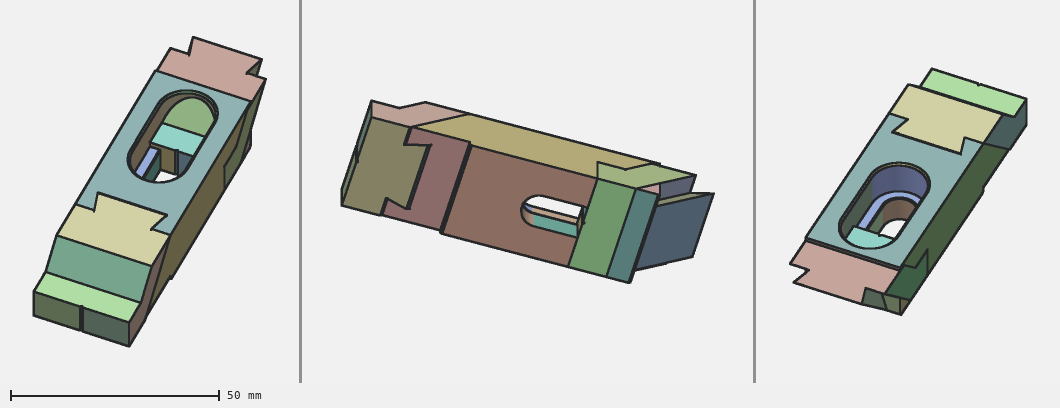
import cadquery as cq

width = 25.0
overall_length = 86.64

jaw_height = 15.0
shelf_height = 8.5
shelf_length = 7.0
jaw_top_length = 11.1
ramp = jaw_height - shelf_height
shoulder = shelf_length + ramp + jaw_top_length
mark_depth = 0.4

neck_width = 15.0
tip_width = 18.0
dovetail_length = 5.5
socket_clearance = 0.2
jaw_length = shoulder + dovetail_length

block_height = 16.0
block_length = 47.6
step_height = 1.5
edge_chamfer = 0.5
block_front = shoulder
block_rear = block_front + block_length

wide_front_center = 46.0
narrow_front_center = 45.6
slot_rear_center = 62.4
wide_slot_width = 14.0
narrow_slot_width = 8.5
ledge_height = 7.0
ledge_chamfer = 0.25
entry_taper = -45

front_jaw_lift = block_height - jaw_height
rear_jaw_nose = overall_length - jaw_length


def side_prism(points):
    """Full-width prism along X from a (Y, Z) outline."""
    return cq.Workplane("YZ").polyline(points).close().extrude(width / 2, both=True)


def sloped_dovetail(shoulder_y, top, drop, length):
    """Dovetail with a horizontal section, swept down a 45 degree slope toward the nose."""
    tip_half = neck_width / 2 + (tip_width - neck_width) / 2 * length / dovetail_length
    corners = [
        (-neck_width / 2, shoulder_y, top),
        (neck_width / 2, shoulder_y, top),
        (tip_half, shoulder_y + length, top),
        (-tip_half, shoulder_y + length, top),
    ]
    section = cq.Wire.makePolygon([cq.Vector(*corner) for corner in corners], close=True)
    solid = cq.Solid.extrudeLinear(section, [], cq.Vector(0, -drop, -drop))
    return cq.Workplane(obj=solid)


def make_jaw(nose_y, bottom):
    """Stepped jaw with a sloped shoulder, a dovetail on it and a centre mark on the nose."""
    body = side_prism([
        (0, 0),
        (0, shelf_height),
        (shelf_length, shelf_height),
        (shelf_length + ramp, jaw_height),
        (shoulder, jaw_height),
        (shoulder - jaw_height, 0),
    ])
    dovetail = sloped_dovetail(shoulder, jaw_height, jaw_height, dovetail_length)
    mark = (
        cq.Workplane("XY")
        .polyline([(-mark_depth, 0), (mark_depth, 0), (0, mark_depth)])
        .close()
        .extrude(shelf_height)
    )
    return body.union(dovetail).cut(mark).translate((0, nose_y, bottom))


def slot_prism(slot_width, front_center, bottom, top, taper=0):
    """Round-ended upright slot; a negative taper widens it toward the top."""
    spacing = slot_rear_center - front_center
    return (
        cq.Workplane("XY", origin=(0, (front_center + slot_rear_center) / 2, bottom))
        .slot2D(spacing + slot_width, slot_width, 90)
        .extrude(top - bottom, taper=taper)
    )


def make_stepped_slot():
    """Wide slot above a ledge and a narrow one below it, both with 45 degree entries."""
    wide = slot_prism(wide_slot_width, wide_front_center, ledge_height, block_height)
    narrow = slot_prism(narrow_slot_width, narrow_front_center, 0, ledge_height)
    wide_entry = slot_prism(
        wide_slot_width, wide_front_center, block_height - edge_chamfer, block_height, entry_taper
    )
    narrow_entry = slot_prism(
        narrow_slot_width, narrow_front_center, ledge_height - ledge_chamfer, ledge_height, entry_taper
    )
    return wide.union(narrow).union(wide_entry).union(narrow_entry)


def make_wedge():
    """Full-width wedge under the rear jaw's shoulder, with a chamfered lower rear edge."""
    shoulder_foot = rear_jaw_nose + shoulder - jaw_height
    return side_prism([
        (shoulder_foot, 0),
        (block_rear, block_rear - shoulder_foot),
        (block_rear, edge_chamfer),
        (block_rear - edge_chamfer, 0),
    ])


def make_block(rear_jaw, wedge):
    """Slotted block, socketed for the front jaw and cut away over the rear jaw and wedge."""
    body = side_prism([
        (block_front + edge_chamfer, 0),
        (block_front, edge_chamfer),
        (block_front, step_height),
        (block_front - block_height + step_height, step_height),
        (block_front, block_height),
        (block_rear, block_height),
        (block_rear, edge_chamfer),
        (block_rear - edge_chamfer, 0),
    ])
    socket = sloped_dovetail(
        block_front, block_height, block_height, dovetail_length + socket_clearance
    )
    return body.cut(socket).cut(make_stepped_slot()).cut(rear_jaw).cut(wedge)


front_jaw = make_jaw(0, front_jaw_lift)
wedge = make_wedge()
rear_jaw = make_jaw(rear_jaw_nose, 0).cut(wedge)
block = make_block(rear_jaw, wedge)

bodies = [block, front_jaw, rear_jaw, wedge]
result = cq.Compound.makeCompound([body.solids().val() for body in bodies])